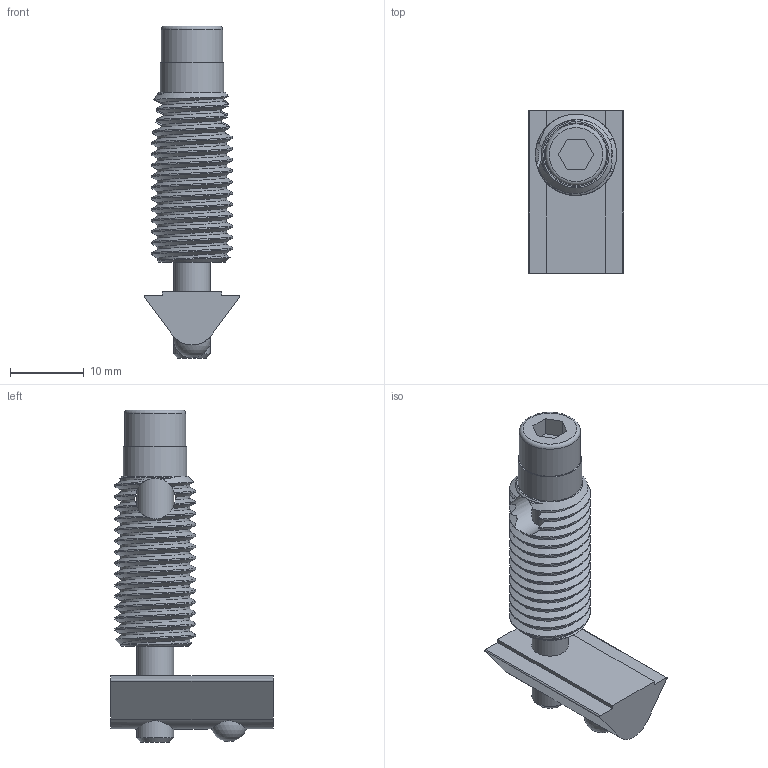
import cadquery as cq
import math


total_height = 45.0
shank_diameter = 5.0
head_diameter = 8.3
head_height = 5.0
head_edge_radius = 0.5
socket_across_flats = 4.15
socket_depth = 2.5
tip_diameter = 4.0
tip_chamfer_height = 0.6
head_seat_z = total_height - head_height

thread_diameter = 11.0
thread_pitch = 1.5
thread_bottom_z = 13.0
thread_length = 23.0
thread_end_chamfer = 1.0
groove_center_z = 11.11
flank_half_angle = 30.0
crest_flat = thread_pitch / 8
root_flat = thread_pitch / 4
cutter_overshoot = 0.1
collar_diameter = 8.6
cross_hole_diameter = 5.5
cross_hole_z = 33.0
thread_top_z = thread_bottom_z + thread_length
thread_radius = thread_diameter / 2

nut_width = 12.92
nut_length = 22.0
nut_top_z = 9.0
nut_bottom_z = 1.76
screw_to_nut_end = 6.0
rail_width = 8.0
rail_height = 0.5
lip_radius = 0.15
belly_radius = 3.3
ball_diameter = 5.0
ball_offset = 10.0
ball_center_z = 2.55


def make_screw():
    """Socket head screw with a rounded head edge and a chamfered tip."""
    head = (
        cq.Workplane("XY", origin=(0, 0, head_seat_z))
        .circle(head_diameter / 2)
        .extrude(head_height)
        .faces(">Z")
        .edges()
        .fillet(head_edge_radius)
    )
    shank = (
        cq.Workplane("XY")
        .circle(shank_diameter / 2)
        .extrude(head_seat_z)
        .faces("<Z")
        .chamfer(tip_chamfer_height, (shank_diameter - tip_diameter) / 2)
    )
    socket_across_corners = socket_across_flats / math.cos(math.radians(30))
    socket = (
        cq.Workplane("XY", origin=(0, 0, total_height - socket_depth))
        .polygon(6, socket_across_corners)
        .extrude(socket_depth)
    )
    return head.union(shank).cut(socket)


def make_thread_cutter():
    """Right-hand helical bar with the trapezoidal section of the thread groove."""
    flank_slope = math.tan(math.radians(flank_half_angle))
    groove_mouth = thread_pitch - crest_flat
    groove_depth = (groove_mouth - root_flat) / (2 * flank_slope)
    root_radius = thread_radius - groove_depth
    outer_radius = thread_radius + cutter_overshoot
    outer_half_width = groove_mouth / 2 + cutter_overshoot * flank_slope

    turns = math.ceil((thread_top_z - groove_center_z) / thread_pitch) + 1
    section = [
        (root_radius, groove_center_z - root_flat / 2),
        (outer_radius, groove_center_z - outer_half_width),
        (outer_radius, groove_center_z + outer_half_width),
        (root_radius, groove_center_z + root_flat / 2),
    ]
    edges = [
        cq.Wire.makeHelix(thread_pitch, turns * thread_pitch, radius, center=cq.Vector(0, 0, height))
        for radius, height in section
    ]
    sides = [cq.Face.makeRuledSurface(edges[i - 1], edges[i]) for i in range(len(edges))]
    start_corners = [edge.startPoint() for edge in edges]
    end_corners = [edge.endPoint() for edge in edges]
    ends = [
        cq.Face.makeFromWires(cq.Wire.makePolygon(corners, close=True))
        for corners in (start_corners, end_corners)
    ]
    cutter = cq.Solid.makeSolid(cq.Shell.makeShell(sides + ends))
    return cq.Workplane(obj=cutter)


def make_sleeve():
    """Externally threaded sleeve with a plain collar, a screw bore and a cross hole along X."""
    threaded = (
        cq.Workplane("XY", origin=(0, 0, thread_bottom_z))
        .circle(thread_radius)
        .extrude(thread_length)
        .faces("<Z or >Z")
        .edges()
        .chamfer(thread_end_chamfer)
        .cut(make_thread_cutter())
    )
    collar = (
        cq.Workplane("XY", origin=(0, 0, thread_top_z))
        .circle(collar_diameter / 2)
        .extrude(head_seat_z - thread_top_z)
    )
    bore = (
        cq.Workplane("XY", origin=(0, 0, thread_bottom_z))
        .circle(shank_diameter / 2)
        .extrude(head_seat_z - thread_bottom_z)
    )
    cross_hole = (
        cq.Workplane("YZ", origin=(0, 0, cross_hole_z))
        .circle(cross_hole_diameter / 2)
        .extrude(thread_diameter, both=True)
    )
    return threaded.union(collar).cut(bore).cut(cross_hole)


def make_nut():
    """Wedge-shaped slot nut with a round belly, a raised top strip and a ball in its underside."""
    shoulder_z = nut_top_z - rail_height
    lip_center_x = nut_width / 2 - lip_radius
    lip_center_z = shoulder_z - lip_radius
    belly_center_z = nut_bottom_z + belly_radius

    rise = lip_center_z - belly_center_z
    center_distance = math.hypot(lip_center_x, rise)
    slope = math.atan2(rise, lip_center_x) + math.asin((belly_radius - lip_radius) / center_distance)
    belly_edge_x = belly_radius * math.sin(slope)
    belly_edge_z = belly_center_z - belly_radius * math.cos(slope)
    lip_edge_x = lip_center_x + lip_radius * math.sin(slope)
    lip_edge_z = lip_center_z - lip_radius * math.cos(slope)

    body = (
        cq.Workplane("XZ", origin=(0, screw_to_nut_end, 0))
        .moveTo(-rail_width / 2, nut_top_z)
        .lineTo(rail_width / 2, nut_top_z)
        .lineTo(rail_width / 2, shoulder_z)
        .lineTo(lip_center_x, shoulder_z)
        .threePointArc((nut_width / 2, lip_center_z), (lip_edge_x, lip_edge_z))
        .lineTo(belly_edge_x, belly_edge_z)
        .threePointArc((0, nut_bottom_z), (-belly_edge_x, belly_edge_z))
        .lineTo(-lip_edge_x, lip_edge_z)
        .threePointArc((-nut_width / 2, lip_center_z), (-lip_center_x, shoulder_z))
        .lineTo(-rail_width / 2, shoulder_z)
        .close()
        .extrude(nut_length)
    )
    ball = cq.Workplane("XY", origin=(0, -ball_offset, ball_center_z)).sphere(ball_diameter / 2)
    screw_hole = cq.Workplane("XY").circle(shank_diameter / 2).extrude(nut_top_z)
    return body.union(ball).cut(screw_hole)


screw = make_screw()
sleeve = make_sleeve()
nut = make_nut()

result = cq.Compound.makeCompound([screw.solids().val(), sleeve.solids().val(), nut.solids().val()])